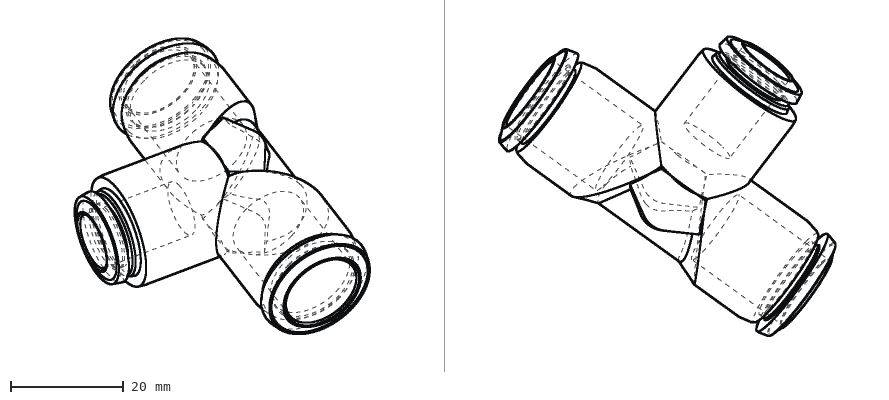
import cadquery as cq
import math

RUN_HALF_LENGTH = 30.6
BRANCH_LENGTH = 29.8
BODY_RADIUS = 10.45
CORE_RADIUS = 8.7

RUN_BORE_RADIUS = 7.1
RUN_BORE_DEPTH = 20.0
BRANCH_BORE_RADIUS = 5.05
BRANCH_BORE_DEPTH = 18.0
BORE_CHAMFER = 0.35

SHOULDER_ANGLE = 60.0
SHOULDER_TAPER = 50.0
SHOULDER_DEPTH = 4.0
BRANCH_SHOULDER_DEPTH = 2.0
SHOULDER_CORNER = 4.85

PAD_HEIGHT = 10.05
PAD_DEPTH = 4.0
PAD_DRAFT = 15.0
PAD_APEX_Y = 5.2
PAD_ROOF_ANGLE = 30.0
PAD_APEX_ROUND = 4.5

RUN_CONE_INSET = 0.95
RUN_FLANGE_BACK = 3.05
RUN_HOUSING_FACE = 4.45
RUN_NECK_RADIUS = 8.0
RUN_PROFILE = [
    (0.0, 7.8),
    (RUN_CONE_INSET, 9.7),
    (RUN_CONE_INSET, 10.15),
    (2.6, 10.6),
    (RUN_FLANGE_BACK, 10.65),
    (RUN_FLANGE_BACK, 8.2),
    (3.35, RUN_NECK_RADIUS),
    (RUN_HOUSING_FACE, RUN_NECK_RADIUS),
    (RUN_HOUSING_FACE, 9.7),
    (4.9, 9.95),
    (7.25, BODY_RADIUS),
]

BRANCH_CONE_INSET = 0.95
BRANCH_FLANGE_BACK = 2.8
BRANCH_SLEEVE_FACE = 4.0
BRANCH_HOUSING_FACE = 5.35
BRANCH_NECK_RADIUS = 6.05
BRANCH_FLANGE_FRONT_RADIUS = 8.27
BRANCH_SLEEVE_RADIUS = 8.27
BRANCH_PROFILE = [
    (0.0, 5.65),
    (BRANCH_CONE_INSET, 7.45),
    (BRANCH_CONE_INSET, BRANCH_FLANGE_FRONT_RADIUS),
    (2.2, 8.5),
    (BRANCH_FLANGE_BACK, 8.58),
    (BRANCH_FLANGE_BACK, 6.25),
    (3.3, BRANCH_NECK_RADIUS),
    (BRANCH_SLEEVE_FACE, BRANCH_NECK_RADIUS),
    (BRANCH_SLEEVE_FACE, 7.7),
    (4.45, 8.05),
    (BRANCH_HOUSING_FACE, BRANCH_SLEEVE_RADIUS),
    (BRANCH_HOUSING_FACE, 10.3),
    (6.5, BODY_RADIUS),
]


def shoulder_x(y):
    """Distance from the YZ plane to the run-arm shoulder plane at a given y."""
    return SHOULDER_CORNER + (y + SHOULDER_CORNER) / math.tan(math.radians(SHOULDER_ANGLE))


def revolved_about_x(points):
    """Full revolution about X of a closed outline in the XY plane."""
    return cq.Workplane("XY").polyline(points).close().revolve(360, (0, 0, 0), (1, 0, 0))


def turned_to_branch(shape):
    """Turn a shape that lies along -X so that it lies along -Y."""
    return shape.rotate((0, 0, 0), (0, 0, 1), 90)


def full_arm(profile, length):
    """Solid arm along X, from its outer face at -length to the centre."""
    points = [(-length, 0.0)]
    points += [(inset - length, radius) for inset, radius in profile]
    points += [(0.0, BODY_RADIUS), (0.0, 0.0)]
    return revolved_about_x(points)


def bore(radius, depth, length):
    """Blind tube socket with a chamfered mouth, along X from -length."""
    return revolved_about_x([
        (-length, 0.0),
        (-length, radius + BORE_CHAMFER),
        (BORE_CHAMFER - length, radius),
        (depth - length, radius),
        (depth - length, 0.0),
    ])


def trimmed_to_plane(arm, plane):
    """Keep the part of an arm behind a plane (opposite to its normal)."""
    reach = 4 * RUN_HALF_LENGTH
    return arm.cut(cq.Workplane(plane).rect(reach, reach).extrude(reach))


def run_arm():
    """Left run arm, cut on the leaning plane and bevelled down to the core."""
    angle = math.radians(SHOULDER_ANGLE)
    plane = cq.Plane(
        origin=(-shoulder_x(0.0), 0, 0),
        xDir=(-math.cos(angle), math.sin(angle), 0),
        normal=(math.sin(angle), math.cos(angle), 0),
    )
    arm = trimmed_to_plane(full_arm(RUN_PROFILE, RUN_HALF_LENGTH), plane)
    bevel = (
        cq.Workplane(plane)
        .ellipse(BODY_RADIUS / math.sin(angle), BODY_RADIUS)
        .extrude(SHOULDER_DEPTH, taper=SHOULDER_TAPER)
    )
    return arm.union(bevel)


def branch_arm():
    """Branch arm along -Y, ending square with the same bevel."""
    plane = cq.Plane(origin=(0, -SHOULDER_CORNER, 0), xDir=(-1, 0, 0), normal=(0, 1, 0))
    full = turned_to_branch(full_arm(BRANCH_PROFILE, BRANCH_LENGTH))
    bevel = (
        cq.Workplane(plane)
        .circle(BODY_RADIUS)
        .extrude(BRANCH_SHOULDER_DEPTH, taper=SHOULDER_TAPER)
    )
    return trimmed_to_plane(full, plane).union(bevel)


def core():
    """Barrel along X that joins the two run arms."""
    half_length = shoulder_x(BODY_RADIUS)
    return cq.Workplane("YZ").circle(CORE_RADIUS).extrude(half_length, both=True)


def upper_pad():
    """Flat-topped pentagon with a rounded apex and drafted sides."""
    roof_angle = math.radians(PAD_ROOF_ANGLE)
    roof_slope = math.tan(roof_angle)
    side_slope = 1 / math.tan(math.radians(SHOULDER_ANGLE))
    side_x = (shoulder_x(0.0) + side_slope * PAD_APEX_Y) / (1 + side_slope * roof_slope)
    side_y = PAD_APEX_Y - roof_slope * side_x

    round_x = PAD_APEX_ROUND * math.sin(roof_angle)
    round_y = PAD_APEX_Y - roof_slope * round_x
    crown_y = PAD_APEX_Y - PAD_APEX_ROUND * (1 / math.cos(roof_angle) - 1)

    plane = cq.Plane(origin=(0, 0, PAD_HEIGHT), xDir=(1, 0, 0), normal=(0, 0, -1))
    return (
        cq.Workplane(plane)
        .moveTo(-SHOULDER_CORNER, SHOULDER_CORNER)
        .lineTo(SHOULDER_CORNER, SHOULDER_CORNER)
        .lineTo(side_x, -side_y)
        .lineTo(round_x, -round_y)
        .threePointArc((0, -crown_y), (-round_x, -round_y))
        .lineTo(-side_x, -side_y)
        .close()
        .extrude(PAD_DEPTH, taper=-PAD_DRAFT)
    )


left_arm = run_arm()
top_pad = upper_pad()
left_bore = bore(RUN_BORE_RADIUS, RUN_BORE_DEPTH, RUN_HALF_LENGTH)
branch_bore = bore(BRANCH_BORE_RADIUS, BRANCH_BORE_DEPTH, BRANCH_LENGTH)

body = core().union(left_arm).union(left_arm.mirror("YZ")).union(branch_arm())
body = body.union(top_pad).union(top_pad.mirror("XY"))
body = body.cut(left_bore).cut(left_bore.mirror("YZ"))
result = body.cut(turned_to_branch(branch_bore))